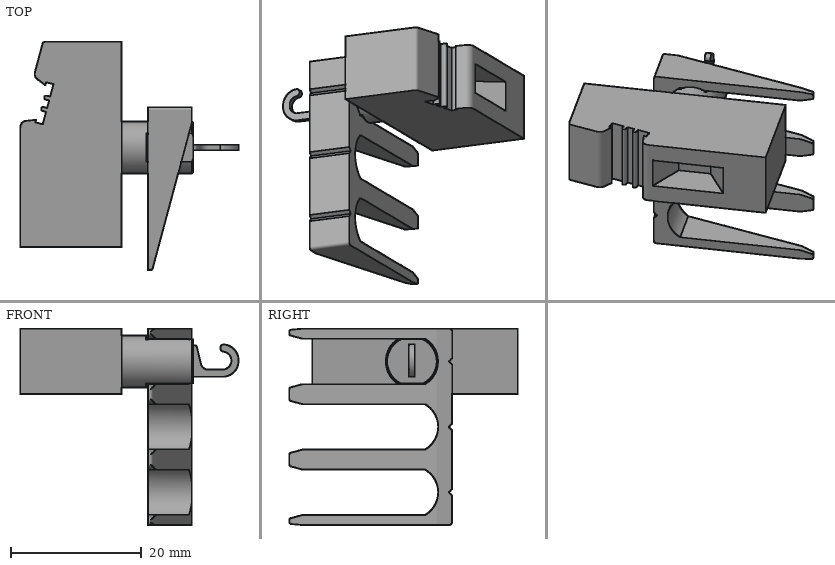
import cadquery as cq
import math


BLOCK_LENGTH_X = 15.5
BLOCK_TOP_Y = 16.18
BLOCK_BOTTOM_Y = -15.25
BLOCK_HEIGHT = 10.0
JAW_TILT = math.radians(15)
UPPER_JAW_START_X = 3.48
UPPER_JAW_NOSE = (2.05, 10.86)
UPPER_JAW_TOP_RADIUS = 0.5
JAW_NOSE_RADIUS = 1.0
LOWER_JAW_NOSE = (0.0, 4.0)

GROOVE_TOP = (5.06, 9.66)
GROOVE_LENGTH = 6.31
GROOVE_DEPTH = 1.13
UPPER_LIP = 0.48
LOWER_LIP = 0.4
RIB_WIDTH = 0.65
RIB_LENGTH = 0.85
RIB_PITCH = 1.8

POCKET_TOP_Y = 2.37
POCKET_BOTTOM_Y = -8.63
POCKET_WALL_RUN = 3.0
POCKET_DEPTH = 5.2
POCKET_HEIGHT = 4.6

SHAFT_RADIUS = 4.0
SHAFT_END_X = 26.45
SHAFT_EDGE_CHAMFER = 0.22
FLAT_START_X = 19.25
FLAT_HALF_HEIGHT = 3.37

COMB_START_X = 19.52
COMB_THICKNESS = 6.7
COMB_BACK_Y = 6.15
TINE_TIP_Y = -18.75
SLOT_PITCH = 10.0
SLOT_COUNT = 3
SLOT_HALF_WIDTH = 3.45
COMB_HEIGHT = 30.05
COMB_EDGE_RADIUS = 0.45
NOTCH_DEPTH = 0.5
WEDGE_START_Y = 3.76
WEDGE_ANGLE = math.radians(15)
TIP_TAPER_LENGTH = 2.05
TIP_SIDE_ANGLE = math.radians(15)
TIP_OUTER_ANGLE = math.radians(5)
TIP_RADIUS = 0.36

HOOK_THICKNESS = 0.9
HOOK_CENTER = (30.9, 0.13)
HOOK_OUTER_RADIUS = 2.5
HOOK_INNER_RADIUS = 1.36
HOOK_END_ANGLE = math.radians(83)
HOOK_ROOT_TOP_Z = 2.5
HOOK_ROOT_FLANK_X = 26.95
HOOK_ROOT_BASE_X = 27.84
HOOK_TOP_RADIUS = 0.45
HOOK_THROAT_RADIUS = 1.1
HOOK_EMBED = 1.0

comb_top = (COMB_HEIGHT - (SLOT_COUNT - 1) * SLOT_PITCH) / 2
comb_bottom = comb_top - COMB_HEIGHT
comb_end_x = COMB_START_X + COMB_THICKNESS
slot_centers = [-i * SLOT_PITCH for i in range(SLOT_COUNT)]


def groove_point(along, outward):
    """Point at a distance down the groove floor and a distance out of it."""
    sine, cosine = math.sin(JAW_TILT), math.cos(JAW_TILT)
    x = GROOVE_TOP[0] - along * sine - outward * cosine
    y = GROOVE_TOP[1] - along * cosine + outward * sine
    return (x, y)


def add_rib(outline, middle):
    """Continue the groove floor outline around one round-nosed rib."""
    half = RIB_WIDTH / 2
    straight = RIB_LENGTH - half
    return (
        outline.lineTo(*groove_point(middle - half, 0))
        .lineTo(*groove_point(middle - half, straight))
        .threePointArc(groove_point(middle, RIB_LENGTH), groove_point(middle + half, straight))
        .lineTo(*groove_point(middle + half, 0))
    )


def round_edge(body, point, radius):
    """Round the Z-parallel edge passing nearest to an XY point."""
    return body.edges(cq.selectors.NearestToPointSelector((point[0], point[1], 0))).fillet(radius)


def make_block():
    upper_jaw_start = (UPPER_JAW_START_X, BLOCK_TOP_Y)
    outline = (
        cq.Workplane("XY", origin=(0, 0, -BLOCK_HEIGHT / 2))
        .moveTo(0, BLOCK_BOTTOM_Y)
        .lineTo(BLOCK_LENGTH_X, BLOCK_BOTTOM_Y)
        .lineTo(BLOCK_LENGTH_X, BLOCK_TOP_Y)
        .lineTo(*upper_jaw_start)
        .lineTo(*UPPER_JAW_NOSE)
        .lineTo(*groove_point(UPPER_LIP, GROOVE_DEPTH))
        .lineTo(*groove_point(0, GROOVE_DEPTH))
        .lineTo(*groove_point(0, 0))
    )
    for side in (-1, 1):
        outline = add_rib(outline, (GROOVE_LENGTH + side * RIB_PITCH) / 2)
    outline = (
        outline.lineTo(*groove_point(GROOVE_LENGTH, 0))
        .lineTo(*groove_point(GROOVE_LENGTH, GROOVE_DEPTH))
        .lineTo(*groove_point(GROOVE_LENGTH - LOWER_LIP, GROOVE_DEPTH))
        .lineTo(*LOWER_JAW_NOSE)
        .close()
    )
    block = outline.extrude(BLOCK_HEIGHT)
    block = round_edge(block, upper_jaw_start, UPPER_JAW_TOP_RADIUS)
    block = round_edge(block, UPPER_JAW_NOSE, JAW_NOSE_RADIUS)
    block = round_edge(block, LOWER_JAW_NOSE, JAW_NOSE_RADIUS)
    return block.cut(make_pocket())


def make_pocket():
    return (
        cq.Workplane("XY", origin=(0, 0, -POCKET_HEIGHT / 2))
        .moveTo(0, POCKET_TOP_Y)
        .lineTo(POCKET_DEPTH, POCKET_TOP_Y - POCKET_WALL_RUN)
        .lineTo(POCKET_DEPTH, POCKET_BOTTOM_Y + POCKET_WALL_RUN)
        .lineTo(0, POCKET_BOTTOM_Y)
        .close()
        .extrude(POCKET_HEIGHT)
    )


def make_shaft():
    """Round neck, then a length flattened above and below; only the round sides are chamfered at the end."""
    neck = (
        cq.Workplane("YZ", origin=(BLOCK_LENGTH_X, 0, 0))
        .circle(SHAFT_RADIUS)
        .extrude(FLAT_START_X - BLOCK_LENGTH_X)
    )
    flat_length = SHAFT_END_X - FLAT_START_X
    flat_envelope = (
        cq.Workplane("YZ", origin=(FLAT_START_X, 0, 0))
        .rect(2 * SHAFT_RADIUS, 2 * FLAT_HALF_HEIGHT)
        .extrude(flat_length)
    )
    flattened = (
        cq.Workplane("YZ", origin=(FLAT_START_X, 0, 0))
        .circle(SHAFT_RADIUS)
        .extrude(flat_length)
        .faces(">X")
        .chamfer(SHAFT_EDGE_CHAMFER)
        .intersect(flat_envelope)
    )
    return neck.union(flattened)


def comb_prism(points):
    """Prism through the full comb thickness from a YZ outline."""
    return cq.Workplane("YZ", origin=(COMB_START_X, 0, 0)).polyline(points).close().extrude(COMB_THICKNESS)


def make_slot(center_z):
    """Slot seated on the shaft radius, flaring between the tine tips."""
    seat_y = math.sqrt(SHAFT_RADIUS**2 - SLOT_HALF_WIDTH**2)
    taper_y = TINE_TIP_Y + TIP_TAPER_LENGTH
    mouth_half = SLOT_HALF_WIDTH + TIP_TAPER_LENGTH * math.tan(TIP_SIDE_ANGLE)
    return (
        cq.Workplane("YZ", origin=(COMB_START_X, 0, center_z))
        .moveTo(seat_y, -SLOT_HALF_WIDTH)
        .threePointArc((SHAFT_RADIUS, 0), (seat_y, SLOT_HALF_WIDTH))
        .lineTo(taper_y, SLOT_HALF_WIDTH)
        .lineTo(TINE_TIP_Y, mouth_half)
        .lineTo(TINE_TIP_Y, -mouth_half)
        .lineTo(taper_y, -SLOT_HALF_WIDTH)
        .close()
        .extrude(COMB_THICKNESS)
    )


def make_notch(center_z):
    """V notch across the back of the comb, behind a slot."""
    return comb_prism([
        (COMB_BACK_Y, center_z - NOTCH_DEPTH),
        (COMB_BACK_Y - NOTCH_DEPTH, center_z),
        (COMB_BACK_Y, center_z + NOTCH_DEPTH),
    ])


def make_outer_taper(edge_z, inward):
    """Sliver removed from the outer side of an end tine; inward is the Z sense into the tine."""
    drop = TIP_TAPER_LENGTH * math.tan(TIP_OUTER_ANGLE)
    return comb_prism([
        (TINE_TIP_Y + TIP_TAPER_LENGTH, edge_z),
        (TINE_TIP_Y, edge_z),
        (TINE_TIP_Y, edge_z + inward * drop),
    ])


def make_wedge_cut():
    """Region beyond the sloping face that thins the tines toward their tips."""
    slope_run = (WEDGE_START_Y - TINE_TIP_Y) * math.tan(WEDGE_ANGLE)
    return (
        cq.Workplane("XY", origin=(0, 0, comb_bottom))
        .moveTo(comb_end_x, WEDGE_START_Y)
        .lineTo(comb_end_x, TINE_TIP_Y)
        .lineTo(comb_end_x - slope_run, TINE_TIP_Y)
        .close()
        .extrude(COMB_HEIGHT)
    )


def make_comb():
    comb = comb_prism([
        (TINE_TIP_Y, comb_bottom),
        (COMB_BACK_Y, comb_bottom),
        (COMB_BACK_Y, comb_top),
        (TINE_TIP_Y, comb_top),
    ])
    comb = comb.edges("|X and >Y").fillet(COMB_EDGE_RADIUS)
    for center_z in slot_centers:
        comb = comb.cut(make_slot(center_z)).cut(make_notch(center_z))
    comb = comb.cut(make_outer_taper(comb_top, -1)).cut(make_outer_taper(comb_bottom, 1))
    comb = comb.cut(make_wedge_cut())
    return comb.faces("<Y").edges("not(<X)").fillet(TIP_RADIUS)


def make_hook():
    """Flat plate with a sloped root and a round-ended open hook."""
    center_x, center_z = HOOK_CENTER
    end_radius = (HOOK_OUTER_RADIUS - HOOK_INNER_RADIUS) / 2
    middle_radius = HOOK_OUTER_RADIUS - end_radius

    def on_circle(radius, angle):
        return (center_x + radius * math.cos(angle), center_z + radius * math.sin(angle))

    end_x, end_z = on_circle(middle_radius, HOOK_END_ANGLE)
    end_nose = (end_x - end_radius * math.sin(HOOK_END_ANGLE), end_z + end_radius * math.cos(HOOK_END_ANGLE))
    embed_x = SHAFT_END_X - HOOK_EMBED
    root_top = (HOOK_ROOT_FLANK_X, HOOK_ROOT_TOP_Z)
    throat = (HOOK_ROOT_BASE_X, center_z - HOOK_INNER_RADIUS)
    plate = (
        cq.Workplane("XZ", origin=(0, HOOK_THICKNESS / 2, 0))
        .moveTo(embed_x, center_z - HOOK_OUTER_RADIUS)
        .lineTo(center_x, center_z - HOOK_OUTER_RADIUS)
        .threePointArc((center_x + HOOK_OUTER_RADIUS, center_z), on_circle(HOOK_OUTER_RADIUS, HOOK_END_ANGLE))
        .threePointArc(end_nose, on_circle(HOOK_INNER_RADIUS, HOOK_END_ANGLE))
        .threePointArc((center_x + HOOK_INNER_RADIUS, center_z), (center_x, center_z - HOOK_INNER_RADIUS))
        .lineTo(*throat)
        .lineTo(*root_top)
        .lineTo(embed_x, HOOK_ROOT_TOP_Z)
        .close()
        .extrude(HOOK_THICKNESS)
    )
    for (x, z), radius in ((root_top, HOOK_TOP_RADIUS), (throat, HOOK_THROAT_RADIUS)):
        plate = plate.edges(cq.selectors.NearestToPointSelector((x, 0, z))).fillet(radius)
    return plate


result = make_block().union(make_shaft()).union(make_comb()).union(make_hook())